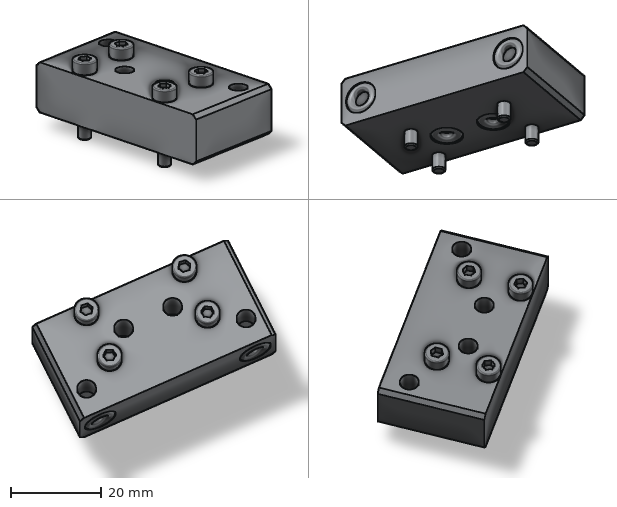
import cadquery as cq
import math

BLOCK_LENGTH = 48.0
BLOCK_DEPTH = 24.75
BLOCK_HEIGHT = 12.0
END_CHAMFER = 1.0

HEAD_DIAMETER = 5.45
HEAD_HEIGHT = 3.0
HEAD_FILLET = 0.3
HEAD_BASE_CHAMFER = 0.2
SHANK_DIAMETER = 3.0
SHANK_LENGTH = 16.0
TIP_CHAMFER = 0.35
SOCKET_WIDTH = 2.5
SOCKET_DEPTH = 1.75
SCREW_X = 12.0
SCREW_ROW_PITCH = 12.0
FRONT_ROW_Y = HEAD_DIAMETER / 2
BACK_ROW_Y = FRONT_ROW_Y + SCREW_ROW_PITCH

SCREWS = [
    (-SCREW_X, FRONT_ROW_Y, 54),
    (SCREW_X, FRONT_ROW_Y, 55),
    (-SCREW_X, BACK_ROW_Y, 30),
    (SCREW_X, BACK_ROW_Y, 37),
]

DRILL_DIAMETER = 4.2
DRILL_POINT_ANGLE = 118.0
BLIND_DEPTH = 7.2
BLIND_X = 19.55
BLIND_Y = 18.75
PORT_X = 6.0
PORT_Y = 9.3

PORT_RING_WIRE = 2.2
PORT_RING_BORE = 2.9
PORT_RING_STAND_OUT = 0.2
BACK_RING_WIRE = 2.0
BACK_RING_BORE = 3.6
BACK_RING_STAND_OUT = 0.35
BACK_RING_X = 19.0
BACK_RING_Z = BLOCK_HEIGHT / 2


def mirrored(x, other):
    """Two points, one on each side of the middle of the block."""
    return [(-x, other), (x, other)]


def upright_cylinders(points, diameter, height):
    """Cylinders rising from the underside of the block."""
    return cq.Workplane("XY").pushPoints(points).circle(diameter / 2).extrude(height)


def blind_hole(x, y):
    """Drilled hole with a conical end, as a solid to cut away."""
    radius = DRILL_DIAMETER / 2
    floor = BLOCK_HEIGHT - BLIND_DEPTH
    point_depth = radius / math.tan(math.radians(DRILL_POINT_ANGLE / 2))
    profile = [(0, BLOCK_HEIGHT), (radius, BLOCK_HEIGHT), (radius, floor), (0, floor - point_depth)]
    return cq.Workplane("XZ").polyline(profile).close().revolve(360, (0, 0), (0, 1)).translate((x, y, 0))


def make_block():
    block = (
        cq.Workplane("XY")
        .box(BLOCK_LENGTH, BLOCK_DEPTH, BLOCK_HEIGHT, centered=(True, False, False))
        .edges("|Y")
        .chamfer(END_CHAMFER)
    )
    ports = mirrored(PORT_X, PORT_Y)
    screw_points = [(x, y) for x, y, _ in SCREWS]
    block = block.cut(upright_cylinders(screw_points, SHANK_DIAMETER, BLOCK_HEIGHT))
    block = block.cut(upright_cylinders(ports, DRILL_DIAMETER, BLOCK_HEIGHT))
    for x, y in mirrored(BLIND_X, BLIND_Y):
        block = block.cut(blind_hole(x, y))

    port_recess_diameter = PORT_RING_BORE + 2 * PORT_RING_WIRE
    port_recess_depth = PORT_RING_WIRE - PORT_RING_STAND_OUT
    block = block.cut(upright_cylinders(ports, port_recess_diameter, port_recess_depth))

    back_recess_diameter = BACK_RING_BORE + 2 * BACK_RING_WIRE
    back_recess_depth = BACK_RING_WIRE - BACK_RING_STAND_OUT
    back_recesses = (
        cq.Workplane("XZ", origin=(0, BLOCK_DEPTH, 0))
        .pushPoints(mirrored(BACK_RING_X, BACK_RING_Z))
        .circle(back_recess_diameter / 2)
        .extrude(back_recess_depth)
    )
    return block.cut(back_recesses)


def make_screw(x, y, socket_angle):
    """Cap screw with its head resting on top of the block."""
    head = (
        cq.Workplane("XY")
        .circle(HEAD_DIAMETER / 2)
        .extrude(HEAD_HEIGHT)
        .faces(">Z")
        .edges()
        .fillet(HEAD_FILLET)
        .faces("<Z")
        .edges()
        .chamfer(HEAD_BASE_CHAMFER)
    )
    shank = (
        cq.Workplane("XY")
        .circle(SHANK_DIAMETER / 2)
        .extrude(-SHANK_LENGTH)
        .faces("<Z")
        .edges()
        .chamfer(TIP_CHAMFER)
    )
    across_corners = SOCKET_WIDTH / math.cos(math.pi / 6)
    socket = (
        cq.Workplane("XY", origin=(0, 0, HEAD_HEIGHT))
        .polygon(6, across_corners)
        .extrude(-SOCKET_DEPTH)
        .rotate((0, 0, 0), (0, 0, 1), socket_angle)
    )
    return head.union(shank).cut(socket).translate((x, y, BLOCK_HEIGHT))


def make_ring(bore, wire, center, axis):
    """O-ring with a round wire."""
    ring_radius = (bore + wire) / 2
    return cq.Solid.makeTorus(ring_radius, wire / 2, cq.Vector(*center), cq.Vector(*axis))


def make_port_ring(x, y):
    center_z = PORT_RING_WIRE / 2 - PORT_RING_STAND_OUT
    return make_ring(PORT_RING_BORE, PORT_RING_WIRE, (x, y, center_z), (0, 0, 1))


def make_back_ring(x, z):
    center_y = BLOCK_DEPTH + BACK_RING_STAND_OUT - BACK_RING_WIRE / 2
    return make_ring(BACK_RING_BORE, BACK_RING_WIRE, (x, center_y, z), (0, 1, 0))


block = make_block()
screws = [make_screw(x, y, angle).val() for x, y, angle in SCREWS]
port_rings = [make_port_ring(x, y) for x, y in mirrored(PORT_X, PORT_Y)]
back_rings = [make_back_ring(x, z) for x, z in mirrored(BACK_RING_X, BACK_RING_Z)]

result = cq.Compound.makeCompound([block.val(), *screws, *port_rings, *back_rings])